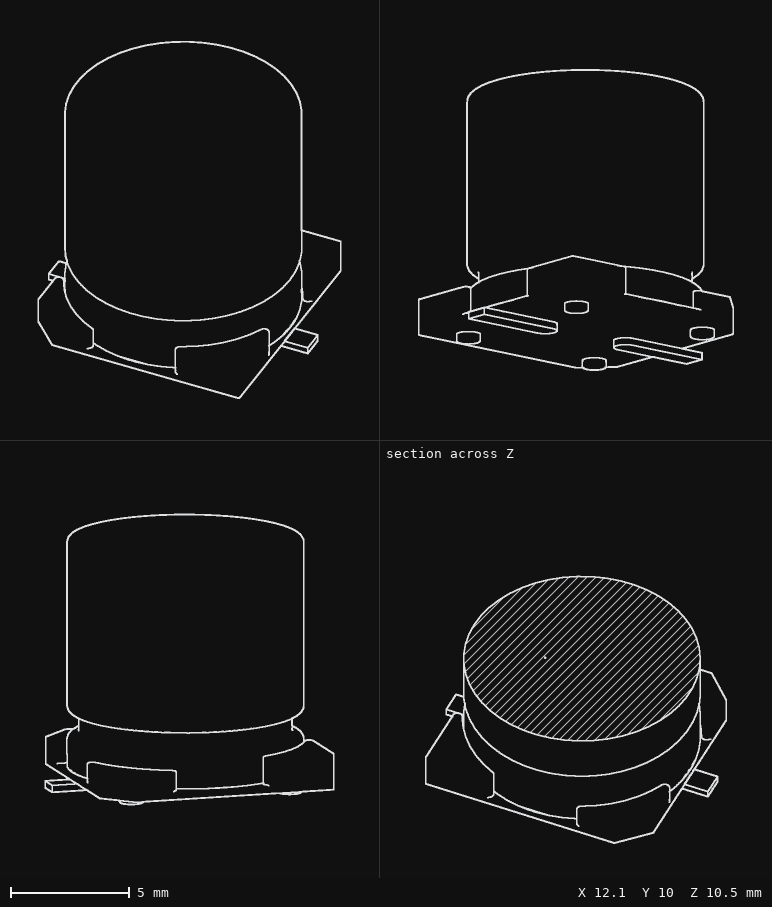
import cadquery as cq

overall_length = 12.1
overall_height = 10.5
body_width = 10.0

terminal_thickness = 0.3
terminal_width = 1.0
terminal_gap = 3.46
foot_diameter = 1.0
foot_spacing = 6.99

base_bottom = terminal_thickness
floor_top = 0.7
low_post_top = 1.51
high_post_top = 1.88
base_chamfer = 1.25
slot_width = 3.87
can_clearance = 0.05
post_end_radius = 0.19
edge_radius = 0.05

can_radius = body_width / 2
neck_diameter = 9.0
neck_radius = neck_diameter / 2
can_edge_radius = 0.2
collar_top = 2.03
neck_top = 3.07


def base_block(bottom, top):
    """Square block between two levels, with its -X corners cut off and its upright edges rounded."""
    return (
        cq.Workplane("XY", origin=(0, 0, bottom))
        .rect(body_width, body_width)
        .extrude(top - bottom)
        .edges("|Z and <X")
        .chamfer(base_chamfer)
        .edges("|Z")
        .fillet(edge_radius)
    )


def make_plate():
    """Thin plate with its top and bottom rims rounded as well."""
    return base_block(base_bottom, floor_top).faces("<Z or >Z").edges().fillet(edge_radius)


def make_post(side_x, side_y, top):
    """Corner post curved around the can, rooted inside the plate."""
    root = (base_bottom + floor_top) / 2
    quadrant_width = (body_width - slot_width) / 2
    quadrant_center = (body_width + slot_width) / 4
    quadrant = (
        cq.Workplane("XY", origin=(side_x * quadrant_center, side_y * quadrant_center, root))
        .rect(quadrant_width, quadrant_width)
        .extrude(top - root)
    )
    can_pocket = (
        cq.Workplane("XY", origin=(0, 0, root))
        .circle(can_radius + can_clearance)
        .extrude(top - root)
    )
    post = base_block(root, top).intersect(quadrant).cut(can_pocket)

    inner_x = "<X" if side_x > 0 else ">X"
    inner_y = "<Y" if side_y > 0 else ">Y"
    post = post.faces(f"{inner_x} or {inner_y}").edges("|Z").fillet(post_end_radius)
    return post.faces(">Z").edges().fillet(edge_radius)


def make_can():
    """Turned can with a rolled neck just above the base."""
    profile = (
        cq.Workplane("XZ")
        .moveTo(0, floor_top)
        .lineTo(can_radius, floor_top)
        .lineTo(can_radius, collar_top)
        .lineTo(neck_radius, collar_top)
        .lineTo(neck_radius, neck_top)
        .lineTo(can_radius, neck_top)
        .lineTo(can_radius, overall_height)
        .lineTo(0, overall_height)
        .close()
    )
    can = profile.revolve(360, (0, 0, 0), (0, 1, 0))
    return can.edges("%CIRCLE").edges("not <Z").fillet(can_edge_radius)


def make_terminal(side_x):
    """Flat terminal along X with a half-round inner end."""
    inner_center = (terminal_gap + terminal_width) / 2
    length = overall_length / 2 - inner_center
    strip = (
        cq.Workplane("XY", origin=(side_x * (inner_center + length / 2), 0, 0))
        .rect(length, terminal_width)
        .extrude(terminal_thickness)
    )
    inner_end = (
        cq.Workplane("XY", origin=(side_x * inner_center, 0, 0))
        .circle(terminal_width / 2)
        .extrude(terminal_thickness)
    )
    return strip.union(inner_end)


def make_feet():
    """Four round feet with rounded lower rims."""
    return (
        cq.Workplane("XY")
        .rect(foot_spacing, foot_spacing, forConstruction=True)
        .vertices()
        .circle(foot_diameter / 2)
        .extrude(base_bottom)
        .faces("<Z")
        .edges()
        .fillet(edge_radius)
    )


result = make_plate()
for side_y in (-1, 1):
    result = result.union(make_post(-1, side_y, low_post_top))
    result = result.union(make_post(1, side_y, high_post_top))
result = result.union(make_can())
for side_x in (-1, 1):
    result = result.union(make_terminal(side_x))
result = result.union(make_feet())